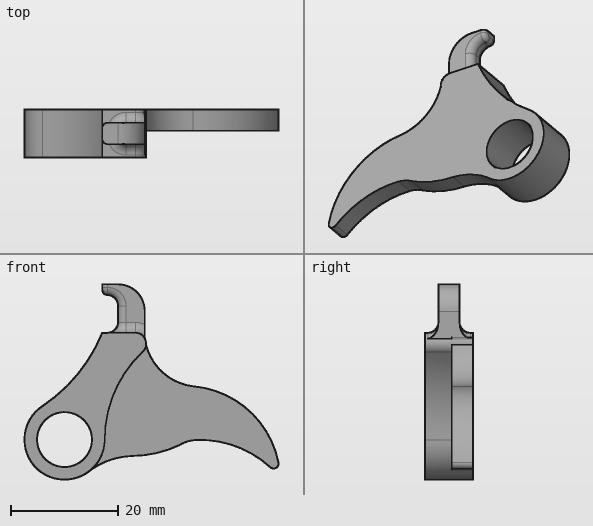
import cadquery as cq
import math

ring_radius = 7.5
bore_diameter = 10.2
body_width = 9.0
body_top = 19.95
arm_left = 7.0
corner_radius = 2.05
corner_x = 13.2
arm_tangent_angle = 123.6

paddle_thickness = 4.05
paddle_tip_x = 39.0
paddle_tip_z = -4.45
paddle_tip_radius = 0.95

hook_width = 4.0
hook_top = 29.0
hook_right = 15.0
hook_outer_radius = 5.05
hook_inner_radius = 2.0
hook_tip_thickness = 2.05
shank_left = 9.95
hook_edge_fillet = 1.45
hook_tip_fillet = 1.0
hook_base_fillet = 2.0

paddle_top_start = (hook_right, 19.07)
paddle_top_hollow = (17.7, 13.15)
paddle_top_join = (23.95, 9.95)
paddle_back = (33.85, 5.95)
paddle_belly = (32.1, -1.35)
paddle_belly_end = (24.55, -0.1)
paddle_bump = (22.9, -0.4)
paddle_bump_end = (21.45, -1.05)
paddle_sag = (17.1, -2.55)
paddle_sag_end = (12.55, -3.1)
paddle_heel = (8.6, -3.8)
paddle_inner_low = (6.15, 0)
paddle_inner_high = (9.5, 16.6)
paddle_heel_angle = -49
paddle_tip_start_angle = 12
paddle_tip_middle_angle = -60
paddle_tip_end_angle = -132

SELECT_MARGIN = 0.05
ARC_MIDDLE = 45


def polar(center, radius, degrees):
    """Point on a circle in the XZ plane."""
    angle = math.radians(degrees)
    return (center[0] + radius * math.cos(angle), center[1] + radius * math.sin(angle))


def extrude_y(outline, y_min, y_max):
    """Extrude a closed XZ outline between two Y positions."""
    return outline.extrude(y_min - y_max).translate((0, y_min, 0))


def make_body():
    corner_z = body_top - corner_radius
    offset = ring_radius - corner_x
    side_radius = (offset**2 + corner_z**2 - corner_radius**2) / (2 * (corner_radius - offset))
    side_center = (ring_radius + side_radius, 0)
    touch_angle = math.degrees(math.atan2(corner_z, corner_x - side_center[0]))
    outline = (
        cq.Workplane("XZ")
        .moveTo(ring_radius, 0)
        .threePointArc(
            polar(side_center, side_radius, (180 + touch_angle) / 2),
            polar(side_center, side_radius, touch_angle),
        )
        .threePointArc((corner_x + corner_radius, corner_z), (corner_x, body_top))
        .lineTo(arm_left, body_top)
    )
    start = polar((0, 0), ring_radius, arm_tangent_angle)
    run = arm_left - start[0]
    rise = body_top - start[1]
    tangent = math.radians(arm_tangent_angle - 90)
    chord = math.atan2(rise, run)
    radius = math.hypot(run, rise) / (2 * math.sin(chord - tangent))
    outline = (
        outline.radiusArc(start, radius)
        .threePointArc(polar((0, 0), ring_radius, arm_tangent_angle / 2 + 180), (ring_radius, 0))
        .close()
    )
    return extrude_y(outline, -body_width / 2, body_width / 2)


def make_paddle():
    tip = (paddle_tip_x, paddle_tip_z)
    outline = (
        cq.Workplane("XZ")
        .moveTo(*paddle_top_start)
        .threePointArc(paddle_top_hollow, paddle_top_join)
        .threePointArc(paddle_back, polar(tip, paddle_tip_radius, paddle_tip_start_angle))
        .threePointArc(
            polar(tip, paddle_tip_radius, paddle_tip_middle_angle),
            polar(tip, paddle_tip_radius, paddle_tip_end_angle),
        )
        .threePointArc(paddle_belly, paddle_belly_end)
        .threePointArc(paddle_bump, paddle_bump_end)
        .threePointArc(paddle_sag, paddle_sag_end)
        .threePointArc(paddle_heel, polar((0, 0), ring_radius, paddle_heel_angle))
        .lineTo(*paddle_inner_low)
        .lineTo(*paddle_inner_high)
        .lineTo(corner_x, body_top - corner_radius)
        .close()
    )
    return extrude_y(outline, body_width / 2 - paddle_thickness, body_width / 2)


def make_hook():
    underside = hook_top - hook_tip_thickness
    bend_x = shank_left - hook_inner_radius
    bend_z = underside - hook_inner_radius
    outer_x = hook_right - hook_outer_radius
    outer_z = hook_top - hook_outer_radius
    root = body_top - corner_radius
    outline = (
        cq.Workplane("XZ")
        .moveTo(hook_right, root)
        .lineTo(hook_right, outer_z)
        .threePointArc(polar((outer_x, outer_z), hook_outer_radius, ARC_MIDDLE), (outer_x, hook_top))
        .lineTo(arm_left, hook_top)
        .lineTo(arm_left, underside)
        .lineTo(bend_x, underside)
        .threePointArc(polar((bend_x, bend_z), hook_inner_radius, ARC_MIDDLE), (shank_left, bend_z))
        .lineTo(shank_left, root)
        .close()
    )
    hook = extrude_y(outline, -hook_width / 2, hook_width / 2)
    for side in (-hook_width / 2, hook_width / 2):
        hook = hook.edges(
            cq.selectors.BoxSelector(
                (arm_left + SELECT_MARGIN, side - SELECT_MARGIN, root),
                (shank_left + SELECT_MARGIN, side + SELECT_MARGIN, underside + SELECT_MARGIN),
            )
        ).fillet(hook_edge_fillet)
    return hook.faces("<X").edges("not >Z").fillet(hook_tip_fillet)


def join_hook(body, hook):
    """Join hook and body, with a fillet around the shank except on its +X face."""
    half_width = hook_width / 2 + SELECT_MARGIN
    return (
        body.union(hook)
        .edges(
            cq.selectors.BoxSelector(
                (shank_left - SELECT_MARGIN, -half_width, body_top - corner_radius / 2),
                (hook_right - SELECT_MARGIN, half_width, body_top + SELECT_MARGIN),
            )
        )
        .fillet(hook_base_fillet)
    )


bore = cq.Workplane("XZ").circle(bore_diameter / 2).extrude(body_width, both=True)
result = join_hook(make_body(), make_hook()).union(make_paddle()).cut(bore)